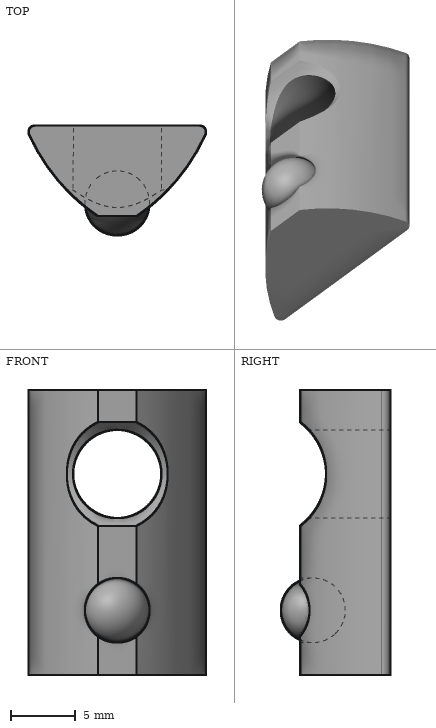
import cadquery as cq
import math

body_height = 22.0
body_depth = 7.0
front_flat_width = 3.0
sharp_back_width = 14.21
flank_radius = 15.0
corner_radius = 0.5

hole_diameter = 6.8
hole_height = 15.5
groove_radius = 5.0
groove_depth = 2.0

ball_diameter = 5.0
ball_protrusion = 1.5
ball_height = 5.0

hole_radius = hole_diameter / 2
ball_radius = ball_diameter / 2
ball_center_y = ball_radius - body_depth - ball_protrusion


def along_y(radius, center_height, start_y, length):
    """Cylinder on X = 0 running from start_y toward -Y."""
    plane = cq.Workplane("XZ", origin=(0, start_y, center_height))
    return plane.circle(radius).extrude(length)


def make_ball():
    return cq.Workplane("XY").sphere(ball_radius).translate((0, ball_center_y, ball_height))


def make_prism():
    half_back = sharp_back_width / 2
    half_front = front_flat_width / 2
    chord_x = half_back - half_front
    chord = math.hypot(chord_x, body_depth)
    sagitta = flank_radius - math.sqrt(flank_radius**2 - (chord / 2) ** 2)
    bulge_x = (half_back + half_front) / 2 + sagitta * body_depth / chord
    bulge_y = -body_depth / 2 - sagitta * chord_x / chord
    outline = (
        cq.Workplane("XY")
        .moveTo(-half_back, 0)
        .lineTo(half_back, 0)
        .threePointArc((bulge_x, bulge_y), (half_front, -body_depth))
        .lineTo(-half_front, -body_depth)
        .threePointArc((-bulge_x, bulge_y), (-half_back, 0))
        .close()
    )
    return outline.extrude(body_height).edges("|Z and >Y").fillet(corner_radius)


def cut_hole(body):
    return body.cut(along_y(hole_radius, hole_height, 0, body_depth))


def cut_groove(body):
    """Cylindrical groove along X, its axis in front of the body at hole height."""
    axis_y = groove_depth - body_depth - groove_radius
    cutter = (
        cq.Workplane("YZ", origin=(0, axis_y, hole_height))
        .circle(groove_radius)
        .extrude(sharp_back_width / 2, both=True)
    )
    return body.cut(cutter)


def cut_ball_seat(body):
    """Round-bottomed bore of the ball's diameter, open at the front."""
    bore = along_y(ball_radius, ball_height, ball_center_y, body_depth)
    return body.cut(bore).cut(make_ball())


body = make_prism()
body = cut_hole(body)
body = cut_groove(body)
body = cut_ball_seat(body)
ball = make_ball()

result = cq.Compound.makeCompound([body.val(), ball.val()])